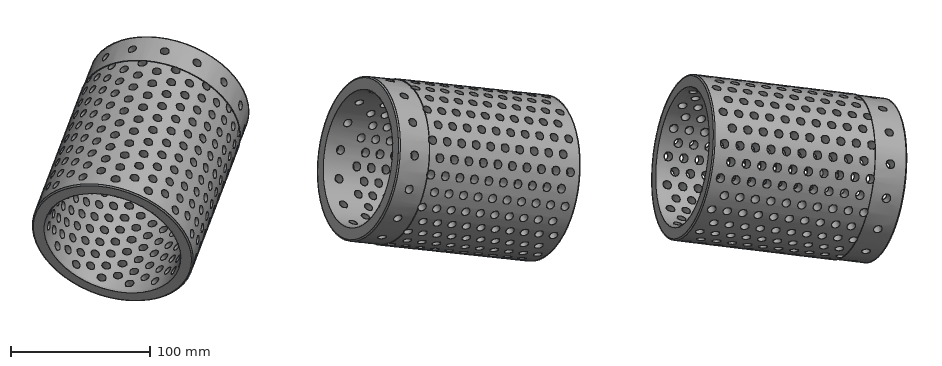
import cadquery as cq
import math

length = 150.0
outer_diameter = 120.0
bore_diameter = 100.0
end_chamfer = 1.0

collar_length = 25.0
collar_diameter = 119.0

mouth_diameter = 102.0
flare_depth = 1.5
taper_diameter = 101.0
taper_end_depth = 7.0

hole_diameter = 6.3
column_count = 30
column_angle = 360.0 / column_count
holes_per_column = 10
hole_pitch = 12.0
first_hole_y = 8.4
stagger = hole_pitch / 2

collar_hole_y = 137.1

drill_margin = 5.0
drill_start = bore_diameter / 2 - drill_margin
drill_length = outer_diameter / 2 + drill_margin - drill_start


def make_tube():
    """Revolve the wall section, with its collar step and bore mouth, about the Y axis."""
    outer_radius = outer_diameter / 2
    collar_radius = collar_diameter / 2
    bore_radius = bore_diameter / 2
    step_y = length - collar_length
    wall = [
        (mouth_diameter / 2, 0),
        (outer_radius - end_chamfer, 0),
        (outer_radius, end_chamfer),
        (outer_radius, step_y),
        (collar_radius, step_y),
        (collar_radius, length - end_chamfer),
        (collar_radius - end_chamfer, length),
        (bore_radius, length),
        (bore_radius, taper_end_depth),
        (taper_diameter / 2, flare_depth),
    ]
    section = cq.Workplane("XY").polyline(wall).close()
    return section.revolve(360, (0, 0, 0), (0, 1, 0))


def radial_drill(y, angle):
    """Cylinder pointing away from the tube axis at y, turned by angle degrees from +Z."""
    turn = math.radians(angle)
    outward = cq.Vector(math.sin(turn), 0, math.cos(turn))
    start = cq.Vector(0, y, 0) + outward * drill_start
    return cq.Solid.makeCylinder(hole_diameter / 2, drill_length, start, outward)


def make_drills():
    """All radial drills: the staggered columns and the collar ring."""
    drills = []
    for column in range(column_count):
        angle = column * column_angle
        is_staggered = column % 2 == 1
        column_start = first_hole_y
        if is_staggered:
            column_start += stagger
        for index in range(holes_per_column):
            drills.append(radial_drill(column_start + index * hole_pitch, angle))
        if not is_staggered:
            drills.append(radial_drill(collar_hole_y, angle))
    return cq.Workplane(cq.Compound.makeCompound(drills))


result = make_tube().cut(make_drills())